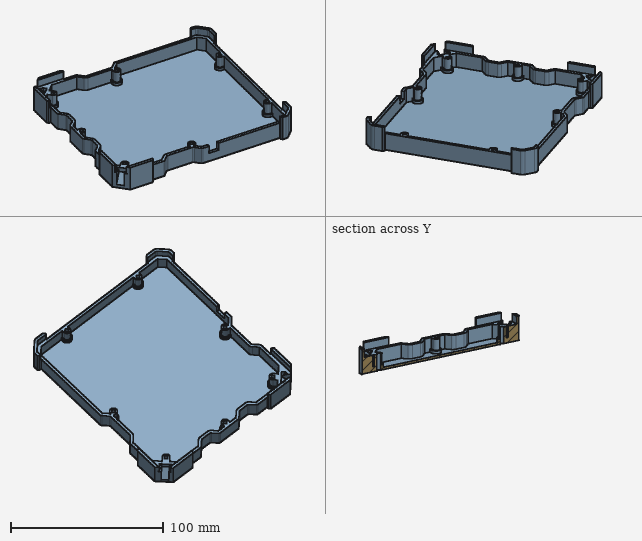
import cadquery as cq
import math

LENGTH_X = 120.0
LENGTH_Y = 135.0
HEIGHT = 17.5
RIM_Z = 12.0
FLOOR_Z = 2.0

WALL = 2.0
GUARD_WALL = 2.0
GUARD_GAP = 0.47
GUARD_OFFSET = GUARD_GAP + GUARD_WALL
GUARD_X = LENGTH_X / 2
GUARD_Y = LENGTH_Y / 2
TRAY_X = GUARD_X - GUARD_OFFSET
TRAY_Y = GUARD_Y - GUARD_OFFSET
GUARD_END_CHAMFER = 1.0
BACK_GUARD_INNER_X = 44.5
BACK_GUARD_INNER_Y = 55.8
FRONT_GUARD_INNER_X = 33.3
FRONT_GUARD_INNER_Y = 41.0

BACK_CHAMFER = 5.5
OUTLINE_RADIUS = 1.5
JOG = 4.3
SIDE_RECESS_TOP = -3.0
SIDE_RECESS_BOTTOM = -31.6
FRONT_RECESS_X = 16.6
FRONT_RECESS_HALF = 8.1

HOLE_D = 2.4
BOSS_D = 5.0
FLANGE_D = 7.0
FLANGE_HEIGHT = 2.0
BACK_BOSS_LEFT_X = -30.1
BACK_BOSS_RIGHT_X = 32.4
BACK_BOSS_Y = 61.3
SIDE_BOSS_X = 49.0
SIDE_BOSS_Y = -6.0
FRONT_BOSS_Y = -61.0
CORNER_BOSS_X = 47.0
CORNER_BOSS_Y = -55.5

CORNER_CHAMFER = 8.6
BLOCK_LEG = 11.5
SLOT_INNER_X = 52.5
WINDOW_WIDTH = 5.1
WINDOW_BOTTOM = 2.5
WINDOW_DEPTH = 6.2
SIDE_POCKET_WIDTH = 8.4
SIDE_POCKET_DEPTH = 2.0
SIDE_POCKET_WALL_X = 2.0
SIDE_POCKET_WALL_Y = 1.5

NOTCH_Y_MIN = 2.3
NOTCH_Y_MAX = 9.5
NOTCH_BOTTOM = 6.5


def tray_outline():
    """Outer wire of the tray wall, all corners rounded."""
    recess_x = TRAY_X - JOG
    recess_y = JOG - TRAY_Y
    foot_outer = FRONT_RECESS_X + FRONT_RECESS_HALF
    foot_inner = FRONT_RECESS_X - FRONT_RECESS_HALF
    right_half = [
        (foot_inner, -TRAY_Y),
        (foot_inner + JOG, recess_y),
        (foot_outer - JOG, recess_y),
        (foot_outer, -TRAY_Y),
        (TRAY_X, -TRAY_Y),
        (TRAY_X, SIDE_RECESS_BOTTOM),
        (recess_x, SIDE_RECESS_BOTTOM + JOG),
        (recess_x, SIDE_RECESS_TOP - JOG),
        (TRAY_X, SIDE_RECESS_TOP),
        (TRAY_X, TRAY_Y - BACK_CHAMFER),
        (TRAY_X - BACK_CHAMFER, TRAY_Y),
    ]
    left_half = [(-x, y) for x, y in reversed(right_half)]
    plate = cq.Workplane("XY").polyline(right_half + left_half).close().extrude(1.4)
    return plate.edges("|Z").fillet(OUTLINE_RADIUS).faces("<Z").wires().val()


OUTLINE = tray_outline()


def outline_prism(offset, height):
    """Solid with the tray outline grown by offset."""
    sketch = cq.Workplane("XY").newObject([OUTLINE]).toPending()
    if offset:
        sketch = sketch.offset2D(offset)
    return sketch.extrude(height)


def guard_zone(side_x, side_y, inner_x, inner_y):
    """Corner area holding one guard; its two ends are chamfered on the outside."""
    points = [
        (inner_x, inner_y),
        (inner_x, GUARD_Y - GUARD_END_CHAMFER),
        (inner_x + GUARD_END_CHAMFER, GUARD_Y),
        (GUARD_X, GUARD_Y),
        (GUARD_X, inner_y + GUARD_END_CHAMFER),
        (GUARD_X - GUARD_END_CHAMFER, inner_y),
    ]
    points = [(side_x * x, side_y * y) for x, y in points]
    return cq.Workplane("XY").polyline(points).close().extrude(HEIGHT)


def corner_triangle(side, half_x, half_y, leg, height):
    """Triangular prism in a front corner of a half_x by half_y rectangle."""
    points = [
        (side * half_x, -half_y),
        (side * (half_x - leg), -half_y),
        (side * half_x, leg - half_y),
    ]
    return cq.Workplane("XY").polyline(points).close().extrude(height)


def boss(x, y, toward_x, toward_y, column_sides, flange_sides):
    """Screw boss and base flange; ribs join their listed sides to the wall.

    Side 1 is to the left and side -1 to the right when facing the wall.
    """
    plane = cq.Plane(origin=(x, y, 0), xDir=(toward_x, toward_y, 0), normal=(0, 0, 1))
    reach = FLANGE_D / 2
    levels = [
        (BOSS_D, RIM_Z, column_sides),
        (FLANGE_D, FLOOR_Z + FLANGE_HEIGHT, flange_sides),
    ]
    body = cq.Workplane("XY")
    for diameter, top, sides in levels:
        body = body.union(cq.Workplane(plane).circle(diameter / 2).extrude(top))
        for side in sides:
            rib = cq.Workplane(plane).center(reach / 2, side * diameter / 4)
            body = body.union(rib.rect(reach, diameter / 2).extrude(top))
    return body


def latch_opening(side):
    """Guard slot, ramped window and tapered side pockets of one front corner."""
    corner_sum = GUARD_X + GUARD_Y - CORNER_CHAMFER
    face = (corner_sum - CORNER_BOSS_X + CORNER_BOSS_Y) / math.sqrt(2)
    back = face - WINDOW_DEPTH
    plane = cq.Plane(
        origin=(side * CORNER_BOSS_X, CORNER_BOSS_Y, 0),
        xDir=(side, -1, 0),
        normal=(0, 0, 1),
    )
    slot_x = GUARD_X - GUARD_WALL - SLOT_INNER_X
    slot = (
        cq.Workplane("XY")
        .workplane(offset=RIM_Z)
        .center(side * (SLOT_INNER_X + slot_x / 2), GUARD_WALL / 2 - GUARD_Y)
        .rect(slot_x, GUARD_WALL)
        .extrude(HEIGHT - RIM_Z)
    )

    ramp_plane = cq.Plane(origin=plane.origin, xDir=plane.xDir, normal=-plane.yDir)
    window = (
        cq.Workplane(ramp_plane)
        .moveTo(back, RIM_Z)
        .lineTo(back, WINDOW_BOTTOM + WINDOW_DEPTH)
        .lineTo(face, WINDOW_BOTTOM)
        .lineTo(face, RIM_Z)
        .close()
        .extrude(WINDOW_WIDTH / 2, both=True)
    )

    half_top = SIDE_POCKET_WIDTH / 2
    half_bottom = WINDOW_WIDTH / 2
    pocket_z = RIM_Z - SIDE_POCKET_DEPTH
    profile = [(-half_top, RIM_Z), (half_top, RIM_Z), (half_bottom, pocket_z), (-half_bottom, pocket_z)]
    pockets = (
        cq.Workplane(cq.Plane(origin=plane.origin, xDir=plane.yDir, normal=plane.xDir))
        .workplane(offset=back)
        .polyline(profile)
        .close()
        .extrude(WINDOW_DEPTH)
    )
    inside = (
        cq.Workplane("XY")
        .workplane(offset=RIM_Z)
        .rect(2 * (TRAY_X - SIDE_POCKET_WALL_X), 2 * (TRAY_Y - SIDE_POCKET_WALL_Y))
        .extrude(-SIDE_POCKET_DEPTH, taper=45)
    )
    return slot.union(window).union(pockets.intersect(inside))


guard_zones = cq.Workplane("XY")
for side in (-1, 1):
    guard_zones = guard_zones.union(guard_zone(side, 1, BACK_GUARD_INNER_X, BACK_GUARD_INNER_Y))
    guard_zones = guard_zones.union(guard_zone(side, -1, FRONT_GUARD_INNER_X, FRONT_GUARD_INNER_Y))
guards = outline_prism(GUARD_OFFSET, HEIGHT).intersect(guard_zones)
above_rim = outline_prism(GUARD_GAP, HEIGHT).translate((0, 0, RIM_Z))
cavity = outline_prism(-WALL, HEIGHT).translate((0, 0, FLOOR_Z))
tray = outline_prism(0, RIM_Z).union(guards).cut(above_rim).cut(cavity)

for side in (-1, 1):
    tray = tray.union(corner_triangle(side, TRAY_X - WALL, TRAY_Y - WALL, BLOCK_LEG, RIM_Z))

BOTH = (1, -1)
LEFT = (1,)
RIGHT = (-1,)
bosses = [
    (BACK_BOSS_LEFT_X, BACK_BOSS_Y, 0, 1, BOTH, LEFT),
    (BACK_BOSS_RIGHT_X, BACK_BOSS_Y, 0, 1, BOTH, RIGHT),
    (-SIDE_BOSS_X, SIDE_BOSS_Y, -1, 0, LEFT, LEFT),
    (SIDE_BOSS_X, SIDE_BOSS_Y, 1, 0, RIGHT, RIGHT),
    (0, FRONT_BOSS_Y, 0, -1, BOTH, BOTH),
    (-CORNER_BOSS_X, CORNER_BOSS_Y, -1, -1, BOTH, BOTH),
    (CORNER_BOSS_X, CORNER_BOSS_Y, 1, -1, BOTH, BOTH),
]
for placement in bosses:
    tray = tray.union(boss(*placement))
holes = cq.Workplane("XY").pushPoints([b[:2] for b in bosses]).circle(HOLE_D / 2).extrude(HEIGHT)
tray = tray.cut(holes)

for side in (-1, 1):
    tray = tray.cut(corner_triangle(side, GUARD_X, GUARD_Y, CORNER_CHAMFER, HEIGHT))
    tray = tray.cut(latch_opening(side))

notch = cq.Workplane("XY").box(
    2 * WALL, NOTCH_Y_MAX - NOTCH_Y_MIN, RIM_Z - NOTCH_BOTTOM, centered=(True, False, False)
)
result = tray.cut(notch.translate((TRAY_X, NOTCH_Y_MIN, NOTCH_BOTTOM)))